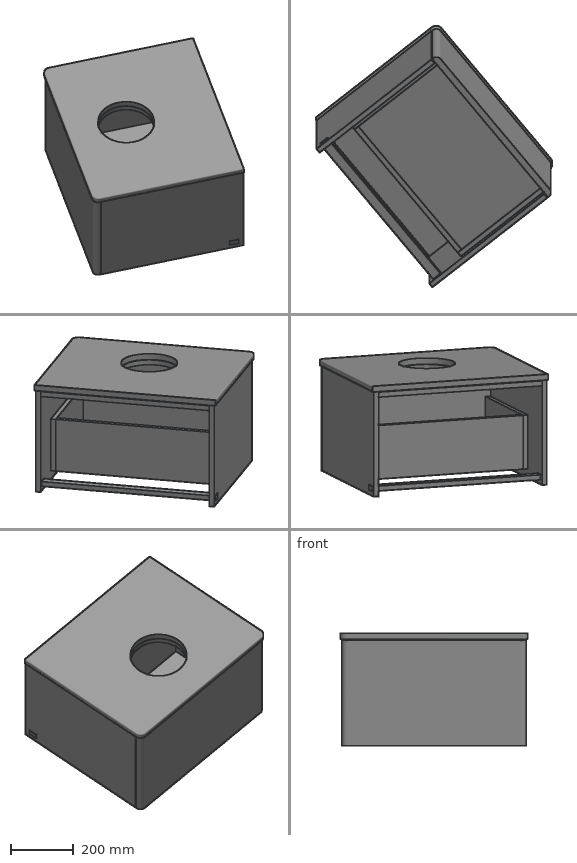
import cadquery as cq


width = 600.0
depth = 500.0
height = 360.0

board = 16.0
assembly_gap = 1.0

lid_thickness = 20.0
lid_side_overhang = 5.5
lid_front_overhang = 4.0
lid_corner_radius = 22.0
lid_edge_radius = 3.9
lid_back_bevel = 0.9
basin_hole_diameter = 180.0
basin_hole_y = 193.0

drawer_front_thickness = 21.0
drawer_front_corner_radius = 17.5
drawer_front_gap_above = 3.5
drawer_front_gap_behind = 3.0
drawer_back_y = 354.0
drawer_bottom_z = 30.0
drawer_top_z = 204.5

rail_length_y = 30.0
rail_to_back = 16.0
rail_z = 14.5

cabinet_top_z = height - lid_thickness
cabinet_outer_x = width / 2 - lid_side_overhang
cabinet_inner_x = cabinet_outer_x - board
drawer_inner_x = cabinet_inner_x - board
drawer_front_back_y = lid_front_overhang + drawer_front_thickness
cabinet_front_y = drawer_front_back_y + drawer_front_gap_behind
rail_back_y = depth - rail_to_back
rail_front_y = rail_back_y - rail_length_y


def block(x_range, y_range, z_range):
    """Box between two limits on each axis."""
    corner = (x_range[0], y_range[0], z_range[0])
    size_x = x_range[1] - x_range[0]
    size_y = y_range[1] - y_range[0]
    size_z = z_range[1] - z_range[0]
    return cq.Workplane("XY").box(size_x, size_y, size_z, centered=False).translate(corner)


def between_sides(half_width):
    """X limits of a body that is centred on the cabinet."""
    return -half_width, half_width


def on_side(side, inner_x, outer_x):
    """X limits of an upright board on the left (side = -1) or the right (side = 1)."""
    return sorted((side * inner_x, side * outer_x))


def make_basin_hole():
    hole = cq.Workplane("XY").circle(basin_hole_diameter / 2).extrude(height)
    return hole.translate((0, basin_hole_y, 0))


def make_lid():
    lid = block(between_sides(width / 2), (0, depth), (cabinet_top_z, height))
    lid = lid.edges("|Z and <Y").fillet(lid_corner_radius)
    lid = lid.faces("<Z or >Z").edges("not >Y").fillet(lid_edge_radius)
    lid = lid.faces(">Y").edges().chamfer(lid_back_bevel)
    return lid.cut(make_basin_hole())


def make_top_panel():
    panel_top_z = cabinet_top_z - assembly_gap
    panel = block(
        between_sides(cabinet_inner_x),
        (cabinet_front_y, depth),
        (panel_top_z - board, panel_top_z),
    )
    return panel.cut(make_basin_hole())


def make_cabinet_side(side):
    """Upright side board with a notch for the end of the rail."""
    board_side = block(
        on_side(side, cabinet_inner_x, cabinet_outer_x),
        (cabinet_front_y, depth),
        (0, cabinet_top_z),
    )
    notch = block(
        between_sides(cabinet_outer_x),
        (rail_front_y, rail_back_y),
        (rail_z, rail_z + board + assembly_gap),
    )
    return board_side.cut(notch)


def make_rear_rail():
    """Flat rail that runs through both sides and ends flush with them."""
    return block(
        between_sides(cabinet_outer_x),
        (rail_front_y, rail_back_y),
        (rail_z, rail_z + board),
    )


def make_drawer_front():
    front = block(
        between_sides(cabinet_outer_x),
        (lid_front_overhang, drawer_front_back_y),
        (0, cabinet_top_z - drawer_front_gap_above),
    )
    return front.edges("|Z and <Y").fillet(drawer_front_corner_radius)


def make_drawer_side(side):
    return block(
        on_side(side, drawer_inner_x, cabinet_inner_x),
        (drawer_front_back_y, drawer_back_y + board),
        (drawer_bottom_z, drawer_top_z),
    )


def make_drawer_back():
    return block(
        between_sides(drawer_inner_x),
        (drawer_back_y, drawer_back_y + board),
        (drawer_bottom_z, drawer_top_z),
    )


def make_drawer_bottom():
    return block(
        between_sides(drawer_inner_x),
        (drawer_front_back_y, drawer_back_y),
        (drawer_bottom_z, drawer_bottom_z + board),
    )


lid = make_lid()
top_panel = make_top_panel()
rear_rail = make_rear_rail()
drawer_front = make_drawer_front()
drawer_back = make_drawer_back()
drawer_bottom = make_drawer_bottom()

cabinet_sides = []
drawer_sides = []
for side in (-1, 1):
    cabinet_sides.append(make_cabinet_side(side).val())
    drawer_sides.append(make_drawer_side(side).val())

result = cq.Compound.makeCompound([
    lid.val(),
    top_panel.val(),
    *cabinet_sides,
    rear_rail.val(),
    drawer_front.val(),
    *drawer_sides,
    drawer_back.val(),
    drawer_bottom.val(),
])